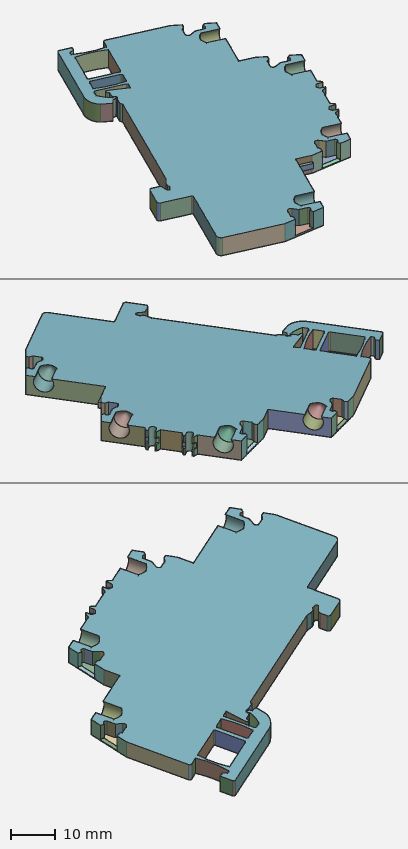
import cadquery as cq
import math

LENGTH = 75.4
HEIGHT = 51.8
THICKNESS = 5.1

HOUSING_BOTTOM = 10.85
TIER_RISE = 13.95
LOWER_TOP = 36.8
UPPER_TOP = LOWER_TOP + TIER_RISE
UPPER_LEFT = 17.1
UPPER_RIGHT = 54.45
UPPER_CENTRE = (UPPER_LEFT + UPPER_RIGHT) / 2
SLANT_RUN = 2.6
SLANT_DROP = 10.0
LEFT_CORNER_RADIUS = 0.5
RIGHT_CORNER_RADIUS = 1.1

SEAT_Y = 7.25
SEAT_LIP_Y = 6.7
FOOT_LEFT = 53.4
FOOT_RIGHT = 59.05
FOOT_BOTTOM = 2.5
FOOT_RADIUS = 0.7
FOOT_ROOT_RADIUS = 0.3

BEAM_TOP = 2.95
CLIP_SLOT_BOTTOM = 2.7
CLIP_OUTER_BEND = 17.4
HOOK_TOP = 3.55
BEAM_CORNER_RADIUS = 0.5
LEG_BOW = 0.3
LEG_OUTER = 2.4
WINDOW_1_LEFT = 3.5
WINDOW_1_RIGHT = 11.85
WINDOW_2_LEFT = 12.75
WINDOW_2_RIGHT = 15.45
SLOT_LEFT = 16.35
WINDOW_RADIUS = 0.4

ENTRY_RADIUS = 2.3
ENTRY_AXIS_Z = 3.7
ENTRY_DEPTH = 4.5
DRILL_POINT_ANGLE = 90.0
ENTRY_INSET = 6.7

POCKET_FLOOR_Z = 0.5
POCKET_SILL_Z = 0.2
POCKET_SILL_WIDTH = 0.75
POCKET_MOUTH_TOP = -2.65
POCKET_MOUTH_BOTTOM = -7.4
POCKET_MOUTH_REACH = 3.0

CLAW_SPACING = 8.5
CLAW_BASE_HALF = 1.8
CLAW_TIP_HALF = 1.2
CLAW_SLOT_HALF = 0.8
CLAW_SLOT_BOTTOM = 49.9
CLAW_GAP_BOTTOM = 51.1
CLAW_GAP_WIDTH = 1.5

TAB_WIDTH = 0.7
TAB_TOP = 40.8
TAB_THICKNESS = 1.5


def plate(outline):
    """Close an outline and give it the full thickness of the part."""
    return outline.close().extrude(THICKNESS)


def housing():
    body = plate(
        cq.Workplane("XY")
        .moveTo(0, HOUSING_BOTTOM)
        .lineTo(0, LOWER_TOP - SLANT_DROP)
        .lineTo(SLANT_RUN, LOWER_TOP)
        .lineTo(UPPER_LEFT, LOWER_TOP)
        .lineTo(UPPER_LEFT, UPPER_TOP - SLANT_DROP)
        .lineTo(UPPER_LEFT + SLANT_RUN, UPPER_TOP)
        .lineTo(UPPER_RIGHT - SLANT_RUN, UPPER_TOP)
        .lineTo(UPPER_RIGHT, UPPER_TOP - SLANT_DROP)
        .lineTo(UPPER_RIGHT, LOWER_TOP)
        .lineTo(LENGTH - SLANT_RUN, LOWER_TOP)
        .lineTo(LENGTH, LOWER_TOP - SLANT_DROP)
        .lineTo(LENGTH, HOUSING_BOTTOM)
    )
    for x, radius in ((0, LEFT_CORNER_RADIUS), (LENGTH, RIGHT_CORNER_RADIUS)):
        corner = cq.selectors.NearestToPointSelector((x, HOUSING_BOTTOM, THICKNESS / 2))
        body = body.edges(corner).fillet(radius)
    return body


def rail_seat():
    """Underside of the housing that sits on the rail, with the fixed foot at its right end."""
    return plate(
        cq.Workplane("XY")
        .moveTo(17.95, HOUSING_BOTTOM)
        .lineTo(17.1, 5.5)
        .threePointArc((17.4, 5.1), (17.8, 5.35))
        .lineTo(18.1, 5.9)
        .lineTo(19.0, 5.9)
        .lineTo(19.7, 6.0)
        .threePointArc((20.2, 6.9), (20.7, SEAT_LIP_Y))
        .lineTo(22.5, SEAT_LIP_Y)
        .lineTo(22.85, SEAT_Y)
        .lineTo(51.4, SEAT_Y)
        .lineTo(52.9, SEAT_LIP_Y)
        .lineTo(53.7, SEAT_LIP_Y)
        .lineTo(54.1, 7.1)
        .lineTo(54.8, 6.9)
        .threePointArc((55.3, 6.5), (55.0, 6.0))
        .lineTo(53.7, 5.4)
        .threePointArc((53.45, 5.2), (FOOT_LEFT, 4.8))
        .lineTo(FOOT_LEFT, FOOT_BOTTOM + FOOT_RADIUS)
        .radiusArc((FOOT_LEFT + FOOT_RADIUS, FOOT_BOTTOM), -FOOT_RADIUS)
        .lineTo(FOOT_RIGHT - FOOT_RADIUS, FOOT_BOTTOM)
        .radiusArc((FOOT_RIGHT, FOOT_BOTTOM + FOOT_RADIUS), -FOOT_RADIUS)
        .lineTo(FOOT_RIGHT, HOUSING_BOTTOM - FOOT_ROOT_RADIUS)
        .radiusArc((FOOT_RIGHT + FOOT_ROOT_RADIUS, HOUSING_BOTTOM), FOOT_ROOT_RADIUS)
    )


def clip():
    """Beam hung from the housing on three thin legs, with a hook at each end."""
    mid_y = (HOUSING_BOTTOM + BEAM_TOP) / 2
    frame = plate(
        cq.Workplane("XY")
        .moveTo(LEG_OUTER, HOUSING_BOTTOM)
        .threePointArc((LEG_OUTER + LEG_BOW, mid_y), (2.25, FOOT_BOTTOM))
        .lineTo(1.5, FOOT_BOTTOM)
        .lineTo(1.0, HOOK_TOP)
        .lineTo(0, HOOK_TOP)
        .lineTo(0, BEAM_CORNER_RADIUS)
        .radiusArc((BEAM_CORNER_RADIUS, 0), -BEAM_CORNER_RADIUS)
        .lineTo(CLIP_OUTER_BEND, 0)
        .tangentArcPoint((21.3, 2.65), relative=False)
        .lineTo(21.9, 5.35)
        .lineTo(20.7, 5.7)
        .lineTo(20.5, 6.3)
        .threePointArc((20.2, 6.7), (19.9, 6.0))
        .threePointArc((19.2, 4.45), (17.95, CLIP_SLOT_BOTTOM))
        .lineTo(16.9, CLIP_SLOT_BOTTOM)
        .threePointArc((16.5, 2.9), (SLOT_LEFT, 3.3))
        .lineTo(SLOT_LEFT, HOUSING_BOTTOM - WINDOW_RADIUS)
        .radiusArc((SLOT_LEFT + WINDOW_RADIUS, HOUSING_BOTTOM), WINDOW_RADIUS)
    )
    window_1 = plate(
        cq.Workplane("XY")
        .moveTo(WINDOW_1_LEFT, HOUSING_BOTTOM)
        .lineTo(WINDOW_1_RIGHT, HOUSING_BOTTOM)
        .lineTo(WINDOW_1_RIGHT, BEAM_TOP)
        .lineTo(WINDOW_1_LEFT, BEAM_TOP)
        .threePointArc((WINDOW_1_LEFT - LEG_BOW, mid_y), (WINDOW_1_LEFT, HOUSING_BOTTOM))
    ).edges("|Z and >X").fillet(WINDOW_RADIUS)
    window_2 = plate(
        cq.Workplane("XY")
        .moveTo(WINDOW_2_RIGHT, BEAM_TOP)
        .lineTo(WINDOW_2_LEFT, BEAM_TOP)
        .lineTo(WINDOW_2_LEFT, HOUSING_BOTTOM)
        .lineTo(WINDOW_2_RIGHT, HOUSING_BOTTOM)
        .threePointArc((WINDOW_2_RIGHT + LEG_BOW, mid_y), (WINDOW_2_RIGHT, BEAM_TOP))
    ).edges("|Z and <X").fillet(WINDOW_RADIUS)
    return frame.cut(window_1).cut(window_2)


def entry_hole(x, top):
    """Drilled hole with a pointed end, running down in -Y."""
    point_depth = ENTRY_RADIUS / math.tan(math.radians(DRILL_POINT_ANGLE / 2))
    return (
        cq.Workplane("XY")
        .lineTo(ENTRY_RADIUS, 0)
        .lineTo(ENTRY_RADIUS, -ENTRY_DEPTH)
        .lineTo(0, -ENTRY_DEPTH - point_depth)
        .close()
        .revolve(360, (0, 0), (0, 1))
        .translate((x, top, ENTRY_AXIS_Z))
    )


def pocket(sloped_sill):
    """Left-hand pocket; its X = Y = 0 is the corner where the shoulder meets the tier top."""
    cavity = (
        cq.Workplane("XY", origin=(0, 0, POCKET_FLOOR_Z))
        .moveTo(-POCKET_MOUTH_REACH, POCKET_MOUTH_TOP)
        .lineTo(-0.7, POCKET_MOUTH_TOP)
        .lineTo(0, -3.3)
        .threePointArc((0.6, -2.9), (1.1, -3.4))
        .lineTo(1.1, -5.4)
        .lineTo(1.95, -6.8)
        .threePointArc((2.1, -7.4), (1.65, -8.0))
        .lineTo(-0.4, -8.0)
        .lineTo(-1.05, POCKET_MOUTH_BOTTOM)
        .lineTo(-POCKET_MOUTH_REACH, POCKET_MOUTH_BOTTOM)
        .close()
        .extrude(THICKNESS)
    )
    if not sloped_sill:
        return cavity
    tilt = math.degrees(math.atan2(SLANT_RUN, SLANT_DROP))
    wedge = (
        cq.Workplane("XZ")
        .moveTo(0, POCKET_SILL_Z)
        .lineTo(POCKET_SILL_WIDTH, POCKET_FLOOR_Z)
        .lineTo(0, POCKET_FLOOR_Z)
        .close()
        .extrude(SLANT_DROP)
        .rotate((0, 0, 0), (0, 0, 1), -tilt)
    )
    mouth = cq.Workplane("XY").box(2 * POCKET_MOUTH_REACH, POCKET_MOUTH_TOP - POCKET_MOUTH_BOTTOM, THICKNESS)
    mouth = mouth.translate((0, (POCKET_MOUTH_TOP + POCKET_MOUTH_BOTTOM) / 2, 0))
    return cavity.union(wedge.intersect(mouth))


def claw_pair(x):
    """Two flared claws either side of a round-bottomed slot, ready to join the top edge."""
    claws = plate(
        cq.Workplane("XY")
        .moveTo(x - CLAW_BASE_HALF, UPPER_TOP)
        .lineTo(x - CLAW_TIP_HALF, HEIGHT)
        .lineTo(x + CLAW_TIP_HALF, HEIGHT)
        .lineTo(x + CLAW_BASE_HALF, UPPER_TOP)
    )
    gap = cq.Workplane("XY").box(2 * CLAW_BASE_HALF, HEIGHT - CLAW_GAP_BOTTOM, CLAW_GAP_WIDTH)
    return claws.cut(gap.translate((x, (HEIGHT + CLAW_GAP_BOTTOM) / 2, THICKNESS / 2)))


def claw_slot(x):
    arc_y = CLAW_SLOT_BOTTOM + CLAW_SLOT_HALF
    return plate(
        cq.Workplane("XY")
        .moveTo(x - CLAW_SLOT_HALF, HEIGHT)
        .lineTo(x - CLAW_SLOT_HALF, arc_y)
        .threePointArc((x, CLAW_SLOT_BOTTOM), (x + CLAW_SLOT_HALF, arc_y))
        .lineTo(x + CLAW_SLOT_HALF, HEIGHT)
    )


def tab():
    height = TAB_TOP - LOWER_TOP
    centre = (UPPER_RIGHT + TAB_WIDTH / 2, LOWER_TOP + height / 2, THICKNESS / 2)
    return cq.Workplane("XY").box(TAB_WIDTH, height, TAB_THICKNESS).translate(centre)


part = housing().union(rail_seat()).union(clip()).union(tab())

for claw_x in (UPPER_CENTRE - CLAW_SPACING / 2, UPPER_CENTRE + CLAW_SPACING / 2):
    part = part.union(claw_pair(claw_x)).cut(claw_slot(claw_x))

tiers = (
    (0, LENGTH, LOWER_TOP, False),
    (UPPER_LEFT, UPPER_RIGHT, UPPER_TOP, True),
)
for left, right, top, right_sill in tiers:
    part = part.cut(entry_hole(left + ENTRY_INSET, top))
    part = part.cut(entry_hole(right - ENTRY_INSET, top))
    part = part.cut(pocket(True).translate((left + SLANT_RUN, top, 0)))
    part = part.cut(pocket(right_sill).mirror("YZ").translate((right - SLANT_RUN, top, 0)))

result = part